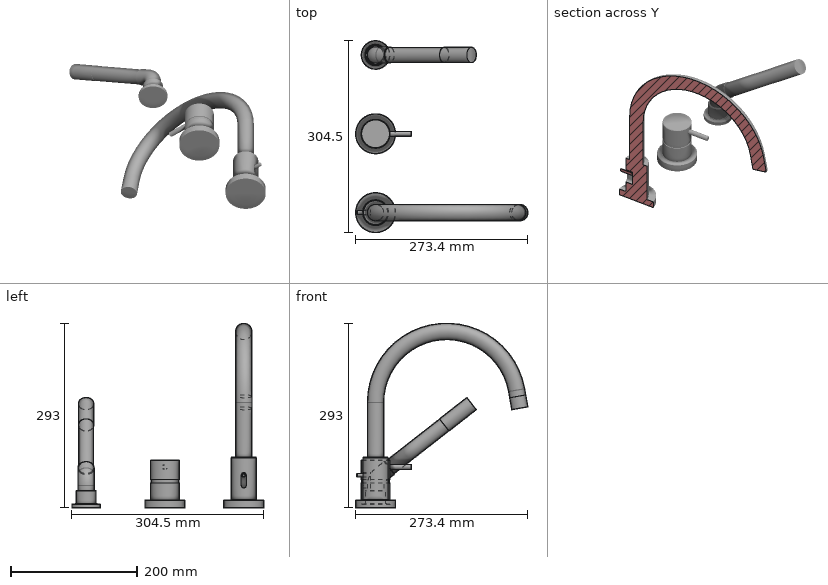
import cadquery as cq
import math

fitting_pitch = 125.0
spout_y = 0.0
mixer_y = spout_y + fitting_pitch
shower_y = mixer_y + fitting_pitch
body_edge_break = 0.9
flange_edge_break = 0.5

flange_radius = 31.75
flange_height = 12.5
collar_height = 0.7

spout_body_radius = 20.0
spout_collar_radius = 20.5
spout_body_top = 80.5
spout_tube_radius = 13.0
spout_top = 293.0
spout_bend_radius = 112.7
spout_bend_angle = 170.0
spout_straight_end = 10.0
outlet_length = 19.3
outlet_radius = 13.1
spout_bend_z = spout_top - spout_tube_radius - spout_bend_radius

pin_radius = 3.0
pin_z = 52.0
pin_tip_x = -30.0
pin_tip_chamfer = 1.0
slot_width = 8.0
slot_travel = 16.0
slot_depth = 12.0
slot_floor_x = -(spout_body_radius - slot_depth)

mixer_radius = 23.0
mixer_base_top = 39.5
neck_radius = 22.0
neck_top = 45.0
mixer_top = 76.0
lever_radius = 4.0
lever_z = 65.0
lever_tip_x = 57.3
lever_tip_chamfer = 0.8

holder_flange_radius = 22.75
holder_flange_height = 6.2
sleeve_radius = 15.8
sleeve_collar_radius = 17.0
sleeve_top = 28.0
elbow_tube_radius = 13.0
elbow_start_z = 35.5
elbow_bend_radius = 22.7
elbow_straight_end = 17.2
elbow_end_chamfer = 0.9

wand_rise_angle = 38.0
grip_radius = 12.0
grip_length = 110.0
head_radius = 12.3
head_length = 55.0


def turned(radius, bottom, top, y):
    """Vertical cylinder on the axis of the fitting at y."""
    return cq.Workplane("XY", origin=(0, y, bottom)).circle(radius).extrude(top - bottom)


def disc(radius, bottom, top, y, edge_break):
    """Vertical cylinder with its top edge broken."""
    return turned(radius, bottom, top, y).faces(">Z").chamfer(edge_break)


def bent_path(y, bottom, bend_z, bend_radius, bend_angle, end_length):
    """Vertical run, a bend toward +X and a straight end; returns path, end point and end direction."""
    def on_bend(angle):
        turn = math.radians(angle)
        return bend_radius * (1 - math.cos(turn)), bend_z + bend_radius * math.sin(turn)

    heading = math.radians(90 - bend_angle)
    direction = (math.cos(heading), math.sin(heading))
    bend_end = on_bend(bend_angle)
    end = (bend_end[0] + end_length * direction[0], bend_end[1] + end_length * direction[1])
    path = (
        cq.Workplane("XZ", origin=(0, y, 0))
        .moveTo(0, bottom)
        .lineTo(0, bend_z)
        .threePointArc(on_bend(bend_angle / 2), bend_end)
        .lineTo(*end)
    )
    return path, cq.Vector(end[0], y, end[1]), cq.Vector(direction[0], 0, direction[1])


def rod(radius, length, start, direction):
    """Cylinder from a start point along any direction."""
    return cq.Workplane(obj=cq.Solid.makeCylinder(radius, length, start, direction))


def make_spout():
    """Flange, body with the pin slot, gooseneck tube and outlet."""
    path, tube_end, tube_direction = bent_path(
        spout_y, spout_body_top, spout_bend_z, spout_bend_radius, spout_bend_angle, spout_straight_end
    )
    tube = cq.Workplane("XY", origin=(0, spout_y, spout_body_top)).circle(spout_tube_radius).sweep(path)
    slot = (
        cq.Workplane("YZ", origin=(slot_floor_x, spout_y, pin_z - slot_travel / 2))
        .slot2D(slot_travel + slot_width, slot_width, 90)
        .extrude(-spout_body_radius)
    )
    return (
        disc(flange_radius, 0, flange_height, spout_y, flange_edge_break)
        .union(turned(spout_collar_radius, flange_height, flange_height + collar_height, spout_y))
        .union(disc(spout_body_radius, flange_height, spout_body_top, spout_y, body_edge_break))
        .cut(slot)
        .union(tube)
        .union(rod(outlet_radius, outlet_length, tube_end, tube_direction))
    )


def make_diverter_pin():
    """Round pin standing on the slot floor at the upper end of the slot."""
    return (
        cq.Workplane("YZ", origin=(slot_floor_x, spout_y, pin_z))
        .circle(pin_radius)
        .extrude(pin_tip_x - slot_floor_x)
        .faces("<X")
        .chamfer(pin_tip_chamfer)
    )


def make_mixer_base():
    """Flange, lower barrel and the narrower neck under the handle."""
    return (
        disc(flange_radius, 0, flange_height, mixer_y, flange_edge_break)
        .union(turned(mixer_radius, flange_height, mixer_base_top, mixer_y))
        .union(turned(neck_radius, mixer_base_top, neck_top, mixer_y))
    )


def make_mixer_handle():
    """Cap with the lever rod toward +X."""
    lever = (
        cq.Workplane("YZ", origin=(0, mixer_y, lever_z))
        .circle(lever_radius)
        .extrude(lever_tip_x)
        .faces(">X")
        .chamfer(lever_tip_chamfer)
    )
    return disc(mixer_radius, neck_top, mixer_top, mixer_y, body_edge_break).union(lever)


holder_path, holder_end, wand_direction = bent_path(
    shower_y, sleeve_top, elbow_start_z, elbow_bend_radius, 90 - wand_rise_angle, elbow_straight_end
)


def make_shower_holder():
    """Flange, sleeve and the elbow that carries the hand shower."""
    elbow = cq.Workplane("XY", origin=(0, shower_y, sleeve_top)).circle(elbow_tube_radius).sweep(holder_path)
    elbow = elbow.faces(">X").chamfer(elbow_end_chamfer)
    collar_top = holder_flange_height + collar_height
    return (
        disc(holder_flange_radius, 0, holder_flange_height, shower_y, flange_edge_break)
        .union(turned(sleeve_collar_radius, holder_flange_height, collar_top, shower_y))
        .union(disc(sleeve_radius, collar_top, sleeve_top, shower_y, body_edge_break))
        .union(elbow)
    )


def make_hand_shower():
    """Straight grip with a slightly thicker head, standing on the end of the elbow."""
    head_start = holder_end + wand_direction * grip_length
    grip = rod(grip_radius, grip_length, holder_end, wand_direction)
    return grip.union(rod(head_radius, head_length, head_start, wand_direction))


spout = make_spout()
diverter_pin = make_diverter_pin()
mixer_base = make_mixer_base()
mixer_handle = make_mixer_handle()
shower_holder = make_shower_holder()
hand_shower = make_hand_shower()

result = cq.Compound.makeCompound(
    [
        spout.val(),
        diverter_pin.val(),
        mixer_base.val(),
        mixer_handle.val(),
        shower_holder.val(),
        hand_shower.val(),
    ]
)